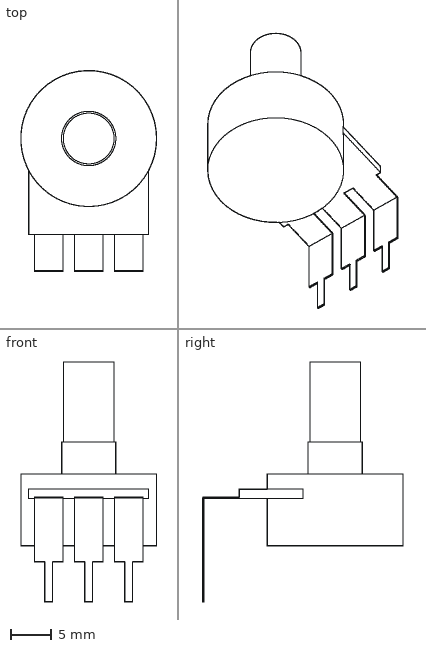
import cadquery as cq

body_diameter = 17.0
body_height = 9.0
bushing_diameter = 6.8
bushing_height = 4.0
shaft_diameter = 6.35
shaft_length = 10.0

plate_width = 15.0
plate_thickness = 1.2
plate_depth_below_top = 1.9
plate_inner_y = -4.0
plate_outer_y = -12.0

terminal_count = 3
terminal_pitch = 5.0
terminal_thickness = 0.2
blade_width = 3.6
blade_bottom_z = -2.0
pin_width = 1.0
pin_bottom_z = -7.0
terminal_outer_y = -16.6

plate_top_z = body_height - plate_depth_below_top
plate_bottom_z = plate_top_z - plate_thickness
terminal_top_z = plate_bottom_z + terminal_thickness


def block(x_center, width, y_range, z_range):
    """Box centred on x_center, spanning the given Y and Z ranges."""
    y_low, y_high = y_range
    z_low, z_high = z_range
    box = cq.Workplane("XY").box(width, y_high - y_low, z_high - z_low, centered=(True, False, False))
    return box.translate((x_center, y_low, z_low))


def turned_parts():
    """Round body with the bushing and the shaft on top."""
    body = cq.Workplane("XY").circle(body_diameter / 2).extrude(body_height)
    bushing = body.faces(">Z").workplane().circle(bushing_diameter / 2).extrude(bushing_height)
    return bushing.faces(">Z").workplane().circle(shaft_diameter / 2).extrude(shaft_length)


def terminal_plate():
    """Flat plate carrying the terminals, sunk into the body."""
    return block(0, plate_width, (plate_outer_y, plate_inner_y), (plate_bottom_z, plate_top_z))


def terminal(x_center):
    """Sheet terminal whose flat arm ends on the mid-plane of its upright, leaving a stepped corner."""
    upright_y = (terminal_outer_y, terminal_outer_y + terminal_thickness)
    upright_mid_y = terminal_outer_y + terminal_thickness / 2
    arm_mid_z = plate_bottom_z + terminal_thickness / 2
    arm = block(x_center, blade_width, (upright_mid_y, plate_inner_y), (plate_bottom_z, terminal_top_z))
    blade = block(x_center, blade_width, upright_y, (blade_bottom_z, arm_mid_z))
    pin = block(x_center, pin_width, upright_y, (pin_bottom_z, blade_bottom_z))
    return arm.union(blade).union(pin)


result = turned_parts().union(terminal_plate())
for index in range(terminal_count):
    terminal_x = (index - (terminal_count - 1) / 2) * terminal_pitch
    result = result.union(terminal(terminal_x))